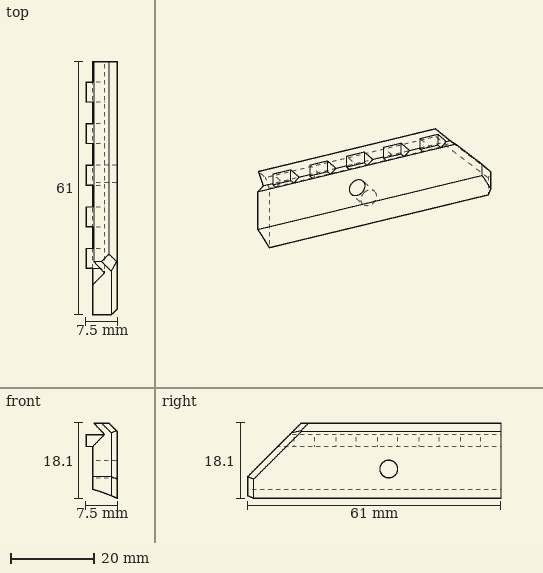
import cadquery as cq

length = 61.0
width = 7.5
height = 18.1

tooth_reach = 1.5
inner_bottom = 15.9
hollow_sagitta = 0.1
lip_x = 1.8
groove_x = 4.4
groove_depth = 2.75
groove_bottom = 5.7
top_bevel = 2.0

slope = 12.9
end_chamfer = 1.45

tooth_count = 5
tooth_pitch = 10.0
tooth_length = 4.8
first_tooth_y = 11.2

hole_diameter = 4.2
hole_y = 34.0
hole_depth = 11.05


def extrude_along_y(sketch, y_start, distance):
    """Extrude an XZ outline toward +Y from y_start."""
    return sketch.extrude(-distance).translate((0, y_start, 0))


def make_rail():
    """Full-length bar with the V groove, outer bevel and hollow underside."""
    hollow_middle_x = (tooth_reach + width) / 2
    hollow_middle_z = -(inner_bottom + height) / 2 + hollow_sagitta
    outline = (
        cq.Workplane("XZ")
        .moveTo(lip_x, 0)
        .lineTo(width - top_bevel, 0)
        .lineTo(width, -top_bevel)
        .lineTo(width, -height)
        .threePointArc((hollow_middle_x, hollow_middle_z), (tooth_reach, -inner_bottom))
        .lineTo(tooth_reach, -groove_bottom)
        .lineTo(groove_x, -groove_depth)
        .close()
    )
    return extrude_along_y(outline, 0, length)


def cut_sloped_end(rail):
    """Cut the -Y end at 45 degrees and chamfer its three outer edges."""
    wedge = (
        cq.Workplane("YZ")
        .polyline([(0, 0), (slope, 0), (0, -slope)])
        .close()
        .extrude(width)
    )
    rail = rail.cut(wedge)

    edge_points = [
        (width, 0, -(slope + height) / 2),
        (width, (slope - top_bevel) / 2, -(slope + top_bevel) / 2),
        (width - top_bevel / 2, slope - top_bevel / 2, -top_bevel / 2),
    ]
    outer_edges = rail.edges(cq.selectors.NearestToPointSelector(edge_points[0]))
    for point in edge_points[1:]:
        outer_edges = outer_edges.add(rail.edges(cq.selectors.NearestToPointSelector(point)))
    return outer_edges.chamfer(end_chamfer)


def make_tooth(y_start):
    """One tooth filling the lower half of the groove and standing proud of it."""
    outline = cq.Workplane("XZ").polyline([
        (0, -groove_depth),
        (groove_x, -groove_depth),
        (tooth_reach, -groove_bottom),
        (0, -groove_bottom),
    ]).close()
    return extrude_along_y(outline, y_start, tooth_length)


def make_cross_hole():
    """Through hole across the width."""
    return (
        cq.Workplane("YZ")
        .center(hole_y, -hole_depth)
        .circle(hole_diameter / 2)
        .extrude(width)
    )


result = cut_sloped_end(make_rail())
for index in range(tooth_count):
    result = result.union(make_tooth(first_tooth_y + index * tooth_pitch))
result = result.cut(make_cross_hole())